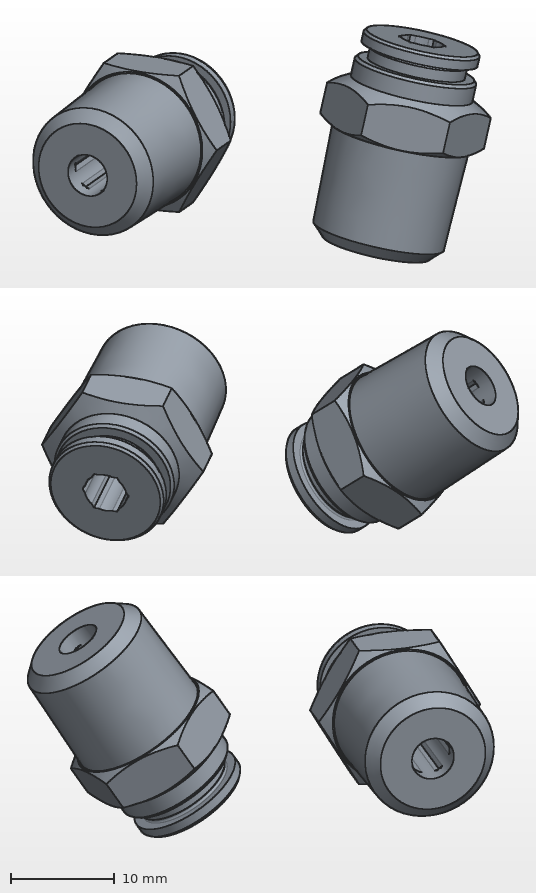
import cadquery as cq
import math

total_length = 20.7

nose_radius = 5.25
nose_chamfer_length = 1.2
thread_front_radius = 6.45
thread_rear_radius = 6.73

hex_flats = 14.0
hex_front = 11.01
hex_rear = 15.95
hex_front_radius = 6.9
hex_chamfer_angle = 30.0
hex_corner_radius = hex_flats / math.sqrt(3)

collar_radius = 6.0
collar_rear = 17.99
collar_chamfer_length = 0.31
collar_chamfer_depth = 0.27

stem_radius = 4.8
neck_groove_radius = 0.19
flange_radius = 5.73
flange_front = 19.45
flange_chamfer_length = 0.3
flange_chamfer_depth = 0.25

bore_diameter = 4.2
socket_flats = 4.0
socket_front = 1.61


def turned(points):
    """Revolve (radius, y) points, closed along the axis, about Y."""
    axis_points = [(0, points[0][1])] + points + [(0, points[-1][1])]
    return cq.Workplane("XY").polyline(axis_points).close().revolve(360, (0, 0, 0), (0, 1, 0))


def hex_prism(flats, front, rear):
    """Hexagonal prism along Y with corners on the X axis."""
    corner_diameter = 2 * flats / math.sqrt(3)
    plane = cq.Workplane("XZ", origin=(0, front, 0))
    return plane.polygon(6, corner_diameter).extrude(front - rear)


def hex_nut():
    """Hexagon with conical chamfers on both ends."""
    slope = math.tan(math.radians(hex_chamfer_angle))
    front_chamfer = (hex_corner_radius - hex_front_radius) * slope
    rear_chamfer = (hex_corner_radius - collar_radius) * slope
    envelope = turned([
        (hex_front_radius, hex_front),
        (hex_corner_radius, hex_front + front_chamfer),
        (hex_corner_radius, hex_rear - rear_chamfer),
        (collar_radius, hex_rear),
    ])
    return hex_prism(hex_flats, hex_front, hex_rear).intersect(envelope)


def core():
    """Thread body, collar and release sleeve as one turned solid."""
    return turned([
        (nose_radius, 0),
        (thread_front_radius, nose_chamfer_length),
        (thread_rear_radius, hex_front),
        (collar_radius, hex_rear),
        (collar_radius, collar_rear - collar_chamfer_length),
        (collar_radius - collar_chamfer_depth, collar_rear),
        (stem_radius, collar_rear),
        (stem_radius, flange_front),
        (flange_radius, flange_front),
        (flange_radius, total_length - flange_chamfer_length),
        (flange_radius - flange_chamfer_depth, total_length),
    ])


def neck_groove():
    """Ring of round section, centred on the stem surface and touching the flange."""
    groove_center = flange_front - neck_groove_radius
    section = cq.Workplane("XY").center(stem_radius, groove_center).circle(neck_groove_radius)
    return section.revolve(360, (-stem_radius, 0, 0), (-stem_radius, 1, 0))


bore_radius = bore_diameter / 2
bore = turned([(bore_radius, 0), (bore_radius, total_length)])
socket = hex_prism(socket_flats, socket_front, total_length)

result = core().union(hex_nut()).cut(neck_groove()).cut(bore).cut(socket)